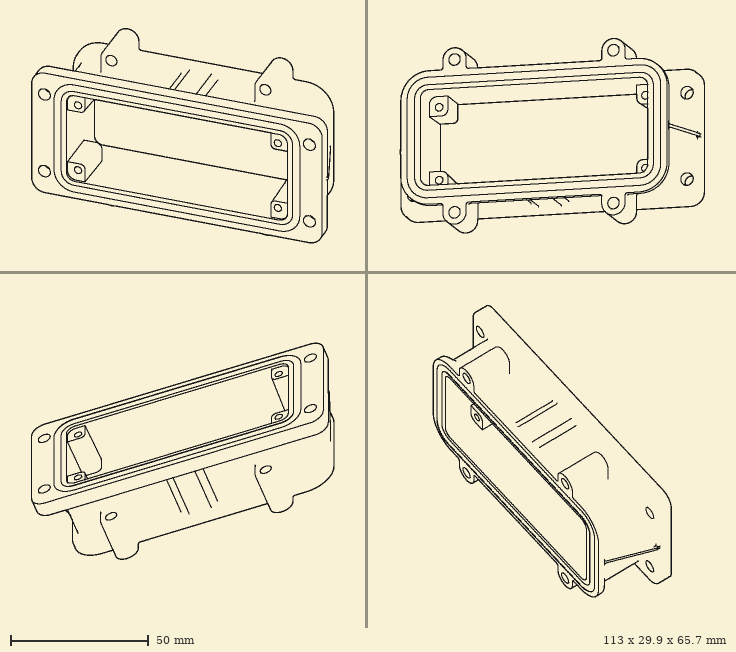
import cadquery as cq
import math

depth = 28.4

flange_length = 113
flange_height = 50.1
flange_corner = 5.2
flange_thickness = 6.1
flange_hole_x = 51.5
flange_hole_z = 16.0
flange_hole_diameter = 4.6

wall_length = 94.1
wall_height = 43.4
wall_corner = 7.6
rim_overhang = 3.2
rim_bevel_start = 23.2
rim_bevel_depth = 2.5

parting_depth = 17
opening_length = 85.2
opening_height = 35.1
opening_corner = 2.9
opening_draft = 1.2

bead_length = 92.8
bead_height = 42.0
bead_corner = 6.3
bead_radius = 1.7
bead_projection = 0.73

lug_x = 30.0
lug_span = 65.7
lug_radius = 4.4
lug_z = lug_span / 2 - lug_radius
lug_start = 11.6
lug_hole_diameter = 4.3

pad_base_width = 14.1
pad_top_width = 8.5
pad_height = 1.4
pad_end = 24.3

rib_thickness = 1.1
rib_front_y = 6.5
rib_rear_x = 49.8
rib_rear_y = 26
rib_sink = 1.1

post_inner_x = 35.6
post_inner_z = 10.3
post_corner = 2.4
post_start = 1.0
post_draft = 2
post_sink = 2.8
post_hole_x = 38.9
post_hole_z = 13.6
post_hole_diameter = 2.8

edge_round = 1.0
root_round = 0.9

pick_margin = 0.06

sides = (-1, 1)


def plane_at(y):
    """Workplane parallel to XZ whose positive extrusion runs towards +Y."""
    return cq.Workplane(cq.Plane((0, y, 0), (-1, 0, 0), (0, 1, 0)))


def rounded_block(length, height, corner, y_start, y_end):
    block = plane_at(y_start).rect(length, height).extrude(y_end - y_start)
    return block.edges("|Y").fillet(corner)


def edges_between(y_start, y_end, half_x=flange_length):
    """Selector for edges wholly between two depths and no farther than half_x sideways."""
    near = (-half_x, y_start - pick_margin, -flange_height)
    far = (half_x, y_end + pick_margin, flange_height)
    return cq.selectors.BoxSelector(near, far, boundingbox=True)


def make_rim():
    rim = rounded_block(
        wall_length + 2 * rim_overhang,
        wall_height + 2 * rim_overhang,
        wall_corner + rim_overhang,
        rim_bevel_start,
        depth,
    )
    return rim.faces("<Y").chamfer(rim_bevel_depth, rim_overhang)


def make_pads():
    """Upper and lower pad as one bar with bevelled flanks, passing through the wall."""
    wall_z = wall_height / 2
    pad_z = wall_z + pad_height
    half_base = pad_base_width / 2
    half_top = pad_top_width / 2
    outline = [
        (-half_base, wall_z),
        (-half_top, pad_z),
        (half_top, pad_z),
        (half_base, wall_z),
        (half_base, -wall_z),
        (half_top, -pad_z),
        (-half_top, -pad_z),
        (-half_base, -wall_z),
    ]
    return plane_at(0).polyline(outline).close().extrude(pad_end)


def make_shell():
    """Flange, wall, rim and pads, with the rim bevel and the flange root rounded."""
    flange = rounded_block(flange_length, flange_height, flange_corner, 0, flange_thickness)
    flange = flange.faces(">Y").edges().fillet(edge_round)
    wall = rounded_block(wall_length, wall_height, wall_corner, 0, depth)
    shell = flange.union(wall).union(make_rim()).union(make_pads())
    bevel_end = rim_bevel_start + rim_bevel_depth
    shell = shell.edges(edges_between(bevel_end, bevel_end)).fillet(root_round)
    shell = shell.edges(edges_between(rim_bevel_start, pad_end)).fillet(root_round)
    root_reach = wall_length / 2 + pick_margin
    return shell.edges(edges_between(flange_thickness, flange_thickness, root_reach)).fillet(root_round)


def make_lug(x):
    """Upper and lower lug as one bar, rounded at the front end."""
    lug = (
        plane_at(lug_start)
        .center(-x, 0)
        .slot2D(lug_span, 2 * lug_radius, 90)
        .extrude(depth - lug_start)
    )
    return lug.faces("<Y").edges().fillet(edge_round)


def round_lug_foot(body, x, side):
    """Fillet around the foot of one lug, where it meets the wall and the rim bevel."""
    reach = lug_radius + pick_margin
    foot_low = wall_height / 2 - pick_margin
    foot_high = wall_height / 2 + rim_overhang + pick_margin
    z_low, z_high = sorted((side * foot_low, side * foot_high))
    near = (x - reach, lug_start - pick_margin, z_low)
    far = (x + reach, depth - pick_margin, z_high)
    return body.edges(cq.selectors.BoxSelector(near, far, boundingbox=True)).fillet(root_round)


def rib_slab(z_top, end_x):
    """Half of the +X rib, from its mid plane up to z_top, cut off at end_x over the flange."""
    slope = (rib_rear_y - rib_front_y) / (flange_length / 2 - rib_rear_x)
    base_x = wall_length / 2 - rib_sink
    base_y = flange_thickness - edge_round
    outline = [
        (base_x, base_y),
        (end_x, base_y),
        (end_x, rib_front_y + slope * (flange_length / 2 - end_x)),
        (rib_rear_x, rib_rear_y),
        (base_x, rib_rear_y),
    ]
    return cq.Workplane("XY").polyline(outline).close().extrude(z_top)


def make_ribs():
    """Ribs with fillets against the wall, the flange and the rim bevel.

    The fillets are what a hollow with rounded edges leaves of a thicker slab.
    """
    face_z = rib_thickness / 2
    wall_x = wall_length / 2
    far_x = flange_length
    hollow_outline = [
        (far_x, flange_thickness),
        (wall_x, flange_thickness),
        (wall_x, rim_bevel_start),
        (far_x, rim_bevel_start + (far_x - wall_x) * rim_bevel_depth / rim_overhang),
    ]
    hollow_height = 4 * root_round
    hollow_plane = cq.Workplane("XY", origin=(0, 0, face_z))
    hollow = hollow_plane.polyline(hollow_outline).close().extrude(hollow_height)
    floor_edges = hollow.faces("<Z").edges()
    hollow = floor_edges.add(hollow.edges("|Z").edges("<X")).fillet(root_round)
    root = rib_slab(face_z + root_round, flange_length / 2 - edge_round).cut(hollow)
    rib = rib_slab(face_z, flange_length / 2).union(root)
    rib = rib.union(rib.mirror("XY"))
    return rib.union(rib.mirror("YZ"))


def make_bead(y, inward):
    """Round bar around the opening; inward is the direction from the face into the body."""
    centre_y = y + inward * (bead_radius - bead_projection)
    enclosed = rounded_block(bead_length, bead_height, bead_corner, centre_y, centre_y + depth)
    loop = enclosed.faces("<Y").wires()
    section = cq.Workplane("XY").center(bead_length / 2, centre_y).circle(bead_radius)
    return section.sweep(loop)


def drafted_block(length, height, corner, y_end, draft):
    """Rounded block running from the parting plane to y_end; positive draft narrows it."""
    reach = y_end - parting_depth
    plane = cq.Plane((0, parting_depth, 0), (1, 0, 0), (0, math.copysign(1, reach), 0))
    section = cq.Sketch().rect(length, height).vertices().fillet(corner)
    return cq.Workplane(plane).placeSketch(section).extrude(abs(reach), taper=draft)


def make_post(side_x, side_z):
    """Corner post, reaching past the opening into the two walls beside it."""
    outer_x = opening_length / 2 + post_sink
    outer_z = opening_height / 2 + post_sink
    post = drafted_block(outer_x - post_inner_x, outer_z - post_inner_z, post_corner, post_start, post_draft)
    return post.translate((side_x * (outer_x + post_inner_x) / 2, 0, side_z * (outer_z + post_inner_z) / 2))


def make_opening():
    """Cavity drafted both ways from the parting plane, leaving the corner posts standing."""
    front = drafted_block(opening_length, opening_height, opening_corner, 0, -opening_draft)
    rear = drafted_block(opening_length, opening_height, opening_corner, depth, -opening_draft)
    opening = front.union(rear)
    for side_x in sides:
        for side_z in sides:
            opening = opening.cut(make_post(side_x, side_z))
    return opening


def drill(body, x, z, diameter, length):
    """Four holes along Y, mirrored about both middle planes."""
    points = [(side_x * x, side_z * z) for side_x in sides for side_z in sides]
    return body.cut(plane_at(0).pushPoints(points).circle(diameter / 2).extrude(length))


result = make_shell()
for x in (-lug_x, lug_x):
    result = result.union(make_lug(x))
    for side in sides:
        result = round_lug_foot(result, x, side)
result = result.union(make_ribs())
result = result.cut(make_opening())
result = result.union(make_bead(0, 1)).union(make_bead(depth, -1))
result = drill(result, flange_hole_x, flange_hole_z, flange_hole_diameter, flange_thickness)
result = drill(result, lug_x, lug_z, lug_hole_diameter, depth)
result = drill(result, post_hole_x, post_hole_z, post_hole_diameter, depth)